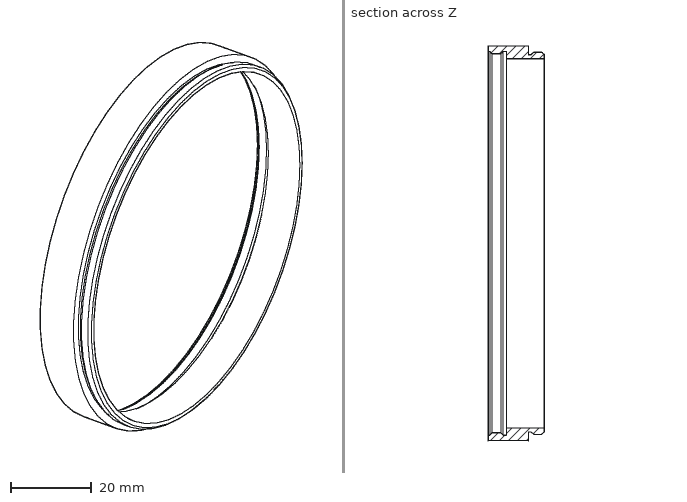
import cadquery as cq

total_length = 13.9
body_length = 10.0
neck_end = 10.6
collar_start = 11.4
collar_end = 13.2
mouth_depth = 0.4
socket_land_end = 3.1
socket_depth = 4.5

body_diameter = 98.0
collar_diameter = 95.0
neck_diameter = 93.7
socket_diameter = 94.0
relief_diameter = 95.2
bore_diameter = 91.5

socket_chamfer = (relief_diameter - socket_diameter) / 2


def revolve_about_x(stations):
    """Solid of revolution through (x, diameter) stations, closed along the X axis."""
    first_x = stations[0][0]
    last_x = stations[-1][0]
    rim = [(x, diameter / 2) for x, diameter in stations]
    outline = [(first_x, 0), *rim, (last_x, 0)]
    return cq.Workplane("XY").polyline(outline).close().revolve(360, (0, 0), (1, 0))


def outer_form():
    """Plain body, narrow neck and a collar bevelled on both sides."""
    return revolve_about_x([
        (0, body_diameter),
        (body_length, body_diameter),
        (body_length, neck_diameter),
        (neck_end, neck_diameter),
        (collar_start, collar_diameter),
        (collar_end, collar_diameter),
        (total_length, neck_diameter),
    ])


def inner_form():
    """Straight mouth and chamfered socket with a relief groove at its floor, then the through bore."""
    return revolve_about_x([
        (0, relief_diameter),
        (mouth_depth, relief_diameter),
        (mouth_depth + socket_chamfer, socket_diameter),
        (socket_land_end, socket_diameter),
        (socket_land_end + socket_chamfer, relief_diameter),
        (socket_depth, relief_diameter),
        (socket_depth, bore_diameter),
        (total_length, bore_diameter),
    ])


result = outer_form().cut(inner_form())